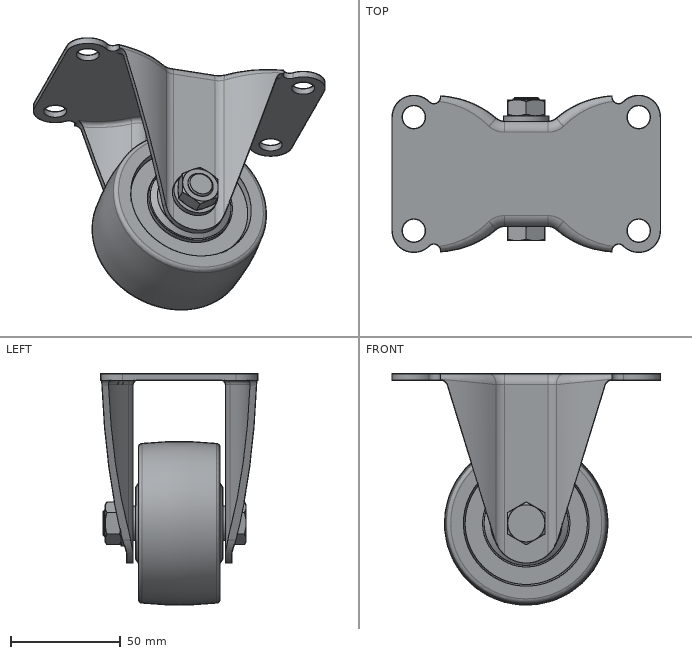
import cadquery as cq
import math


sheet = 3.0
plate_length = 123.0
plate_width = 72.0
ear_radius = 10.0
mount_hole_diameter = 10.5
notch_radius = 3.0
ear_x = plate_length / 2 - ear_radius
ear_y = plate_width / 2 - ear_radius
neck_angle = math.radians(45)
notch_offset_x = (ear_radius + notch_radius) * math.sin(neck_angle)
notch_offset_y = (ear_radius + notch_radius) * math.cos(neck_angle)
notch_x = ear_x - notch_offset_x
notch_y = ear_y + notch_offset_y

leg_gap = 42.2
leg_outer_y = leg_gap / 2 + sheet
flat_half_width = 9.9
flare_angle = math.radians(40.6)
turn_radius = 6.0
wing_radius = 42.5
bend_radius = 5.0
bend_radius_at_tip = 2.3
inner_bend_radius = bend_radius - sheet

foot_radius = 15.0
foot_z = -71.7
leg_taper = math.radians(17.1)
leg_top_fillet = 3.0

axle_z = -68.5
wheel_radius = 37.5
wheel_half_width = 18.75
tread_crown = 1.1
tread_edge_fillet = 2.0
recess_half_width = 15.8
recess_rim_radius = 28.8
recess_floor_radius = 28.0
hub_base_radius = 20.0
hub_cone_radius = 19.3
hub_shoulder_y = 18.1
hub_face_radius = 16.4
hub_half_width = 20.0
collar_radius = 8.0

bolt_diameter = 12.0
across_flats = 17.0
head_height = 6.5
washer_diameter = 21.0
washer_thickness = 2.5
nut_height = 7.3
bolt_tip_length = 1.0
bolt_tip_chamfer = 0.7
hex_chamfer_angle = math.radians(30)

cut_margin = 2.0


def point_on_arc(center, radius, angle):
    """Point at an angle measured from +Y toward +X."""
    return (center[0] + radius * math.sin(angle), center[1] + radius * math.cos(angle))


turn_center = (flat_half_width, leg_outer_y + turn_radius)
wing_center = point_on_arc(turn_center, turn_radius + wing_radius, math.pi - flare_angle)
wing_end_angle = math.asin((notch_x - wing_center[0]) / wing_radius)


def leg_section(inset):
    """Quarter of the plan area inside the leg face that lies `inset` within the outer face."""
    turn = turn_radius + inset
    wing = wing_radius - inset
    end_angle = math.asin((notch_x - wing_center[0]) / wing)
    middle_angle = (end_angle - flare_angle) / 2
    return (
        cq.Workplane("XY")
        .lineTo(0, leg_outer_y - inset)
        .lineTo(flat_half_width, leg_outer_y - inset)
        .threePointArc(
            point_on_arc(turn_center, turn, math.pi - flare_angle / 2),
            point_on_arc(turn_center, turn, math.pi - flare_angle),
        )
        .threePointArc(
            point_on_arc(wing_center, wing, middle_angle),
            point_on_arc(wing_center, wing, end_angle),
        )
        .lineTo(notch_x, 0)
        .close()
    )


def bend_profile(point, outward, tangent, radius):
    """Material to remove outside a bend: a square corner less a quarter circle."""
    plane = cq.Plane(origin=(*point, 0), xDir=(*outward, 0), normal=(*tangent, 0))
    up = 1 if plane.yDir.z > 0 else -1
    arc_middle = radius * (1 - math.sqrt(0.5))
    return (
        cq.Workplane(plane)
        .moveTo(-radius, 0)
        .threePointArc((-arc_middle, -up * arc_middle), (0, -up * radius))
        .lineTo(cut_margin, -up * radius)
        .lineTo(cut_margin, up * cut_margin)
        .lineTo(-radius, up * cut_margin)
        .close()
    )


def bend_cutters():
    """Rounds the top outer corner over the flat strip, the turn and the wing."""
    flat = bend_profile((0, leg_outer_y), (0, 1), (1, 0), bend_radius).extrude(flat_half_width)
    turn = bend_profile((flat_half_width, leg_outer_y), (0, 1), (1, 0), bend_radius).revolve(
        math.degrees(flare_angle), (turn_radius, 0), (turn_radius, 1)
    )

    middle_angle = (wing_end_angle - flare_angle) / 2
    start = point_on_arc(wing_center, wing_radius, -flare_angle)
    middle = point_on_arc(wing_center, wing_radius, middle_angle)
    end = point_on_arc(wing_center, wing_radius, wing_end_angle)
    path = cq.Workplane("XY").moveTo(*start).threePointArc(middle, end)
    sections = []
    for angle, point, radius in (
        (-flare_angle, start, bend_radius),
        (wing_end_angle, end, bend_radius_at_tip),
    ):
        outward = (math.sin(angle), math.cos(angle))
        tangent = (math.cos(angle), -math.sin(angle))
        sections.append(bend_profile(point, outward, tangent, radius).wire().val())
    wing = cq.Workplane(cq.Solid.sweep_multi(sections, path.wire().val()))
    return [flat, turn, wing]


def leg_side_profile():
    """Block bounded by half of the leg's outline: plate edge, tapering side and round foot."""
    edge_x = foot_radius * math.cos(leg_taper)
    edge_z = foot_z - foot_radius * math.sin(leg_taper)
    top_x = edge_x + (-sheet - edge_z) * math.tan(leg_taper)
    fillet_run = leg_top_fillet * math.tan((math.pi / 2 - leg_taper) / 2)
    fillet_bottom = (
        top_x - fillet_run * math.sin(leg_taper),
        -sheet - fillet_run * math.cos(leg_taper),
    )
    return (
        cq.Workplane("XZ")
        .lineTo(notch_x, 0)
        .lineTo(notch_x, -sheet)
        .lineTo(top_x + fillet_run, -sheet)
        .tangentArcPoint(fillet_bottom, relative=False)
        .lineTo(edge_x, edge_z)
        .tangentArcPoint((0, foot_z - foot_radius), relative=False)
        .close()
        .extrude(-plate_width)
    )


def bracket_quarter():
    """The part of the bracket with X and Y positive."""
    depth = foot_radius - foot_z
    quarter = leg_section(0).extrude(-depth)
    for cutter in bend_cutters():
        quarter = quarter.cut(cutter)

    space = leg_section(sheet).extrude(-depth).translate((0, 0, -sheet))
    inner_top_edges = cq.selectors.BoxSelector(
        (0, leg_gap / 2 - cut_margin, -sheet - cut_margin),
        (notch_x - cut_margin, plate_width, -sheet + cut_margin),
    )
    space = space.edges(inner_top_edges).fillet(inner_bend_radius)
    quarter = quarter.cut(space).intersect(leg_side_profile())

    ear_middle_angle = (math.pi / 2 - neck_angle) / 2
    ear = (
        cq.Workplane("XY")
        .moveTo(notch_x, 0)
        .lineTo(notch_x, notch_y - notch_radius)
        .lineTo(*point_on_arc((ear_x, ear_y), ear_radius, -neck_angle))
        .threePointArc(
            point_on_arc((ear_x, ear_y), ear_radius, ear_middle_angle),
            (plate_length / 2, ear_y),
        )
        .lineTo(plate_length / 2, 0)
        .close()
        .extrude(-sheet)
    )
    notch = cq.Workplane("XY").center(notch_x, notch_y).circle(notch_radius).extrude(-2 * sheet)
    hole = cq.Workplane("XY").center(ear_x, ear_y).circle(mount_hole_diameter / 2).extrude(-sheet)
    return quarter.union(ear).cut(notch).cut(hole)


def axle_cylinder(diameter, start_y, end_y):
    """Cylinder about the axle from one Y position to a greater one."""
    return (
        cq.Workplane("XZ", origin=(0, start_y, axle_z))
        .circle(diameter / 2)
        .extrude(start_y - end_y)
    )


def make_bracket():
    quarter = bracket_quarter()
    half = quarter.union(quarter.mirror("YZ"))
    bracket = half.union(half.mirror("XZ"))
    bolt_hole = axle_cylinder(bolt_diameter, -plate_width, plate_width)
    washer_seat = axle_cylinder(washer_diameter, leg_outer_y, leg_outer_y + washer_thickness)
    return bracket.cut(bolt_hole).cut(washer_seat)


def make_wheel():
    side_radius = wheel_radius - tread_crown
    side = [
        (wheel_half_width, recess_rim_radius),
        (recess_half_width, recess_floor_radius),
        (recess_half_width, hub_base_radius),
        (hub_shoulder_y, hub_base_radius),
        (hub_shoulder_y, hub_cone_radius),
        (hub_half_width, hub_face_radius),
        (hub_half_width, collar_radius),
        (leg_gap / 2, collar_radius),
        (leg_gap / 2, bolt_diameter / 2),
    ]
    far_side = [(-y, radius) for y, radius in reversed(side)]
    profile = (
        cq.Workplane("YZ")
        .moveTo(-wheel_half_width, side_radius)
        .threePointArc((0, wheel_radius), (wheel_half_width, side_radius))
    )
    for point in side + far_side:
        profile = profile.lineTo(*point)
    wheel = profile.close().revolve(360, (0, 0), (1, 0))
    tread_edges = cq.selectors.RadiusNthSelector(-2)
    wheel = wheel.edges(tread_edges).fillet(tread_edge_fillet)
    return wheel.translate((0, 0, axle_z))


def hexagon(start_y, end_y, chamfer_start, chamfer_end):
    """Hexagon along the axle, corners up and down, its chosen ends turned to a cone."""
    corner_radius = across_flats / math.sqrt(3)
    half_side_angle = 180 / 6
    prism = (
        cq.Workplane("XZ", origin=(0, start_y, axle_z))
        .polygon(6, 2 * corner_radius)
        .extrude(start_y - end_y)
        .rotate((0, 0, axle_z), (0, 1, axle_z), half_side_angle)
    )
    flat_radius = across_flats / 2
    run = corner_radius - flat_radius
    drop = run * math.tan(hex_chamfer_angle)
    blank = axle_cylinder(2 * corner_radius, start_y, end_y)
    if chamfer_start:
        blank = blank.faces("<Y").chamfer(drop, run)
    if chamfer_end:
        blank = blank.faces(">Y").chamfer(drop, run)
    return prism.intersect(blank)


def make_axle_bolt():
    washer_end = leg_outer_y + washer_thickness
    nut_end = washer_end + nut_height
    tip_end = nut_end + bolt_tip_length
    shank = axle_cylinder(bolt_diameter, -leg_outer_y, tip_end).faces(">Y").chamfer(bolt_tip_chamfer)
    head = hexagon(-leg_outer_y - head_height, -leg_outer_y, True, False)
    washer = axle_cylinder(washer_diameter, leg_outer_y, washer_end)
    nut = hexagon(washer_end, nut_end, True, True)
    return shank.union(head).union(washer).union(nut)


bracket = make_bracket().solids()
wheel = make_wheel().solids()
axle_bolt = make_axle_bolt().solids()
result = cq.Compound.makeCompound([bracket.val(), wheel.val(), axle_bolt.val()])